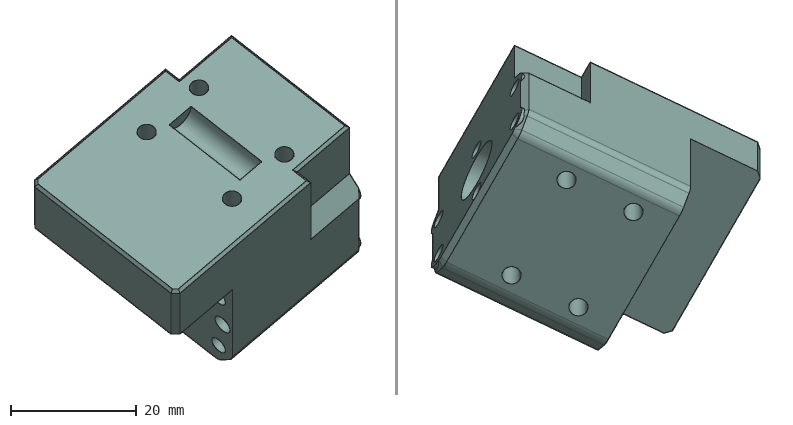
import cadquery as cq

width = 32.0
length = 43.0
height = 33.65
half_width = width / 2

block_front = 13.0
block_length = length - block_front
overhang_bottom = 22.0
head_length = 21.5
head_height = height - overhang_bottom
bottom_corner_bevel = 3.0
bottom_corner_radius = 2.0

head_corner_chamfer = 1.0
top_edge_chamfer = 0.5
back_chamfer = 1.0

neck_step_depth = 3.0
neck_length = 12.0
neck_slope_bottom = 17.65

bore_height = 10.5
bore_diameter = 10.5
bore_mouth_diameter = 12.47
bore_mouth_depth = (bore_mouth_diameter - bore_diameter) / 2

screw_hole_diameter = 3.0
corner_hole_x = 13.0
corner_hole_z = 6.5
vertical_hole_offset = 8.0
corner_hole_places = [
    (x, bore_height + offset)
    for x in (-corner_hole_x, corner_hole_x)
    for offset in (-corner_hole_z, corner_hole_z)
]
vertical_hole_places = [(0, bore_height + offset) for offset in (-vertical_hole_offset, vertical_hole_offset)]
corner_boss_diameter = 5.0
dowel_hole_diameter = 3.3
dowel_hole_x = 13.85
dowel_hole_depth = 6.0

top_pattern_y = 25.8
top_hole_diameter = 3.0
top_hole_spacing_x = 18.8
top_hole_spacing_y = 12.0
pocket_length = 15.55
pocket_width = 5.0


def cylinder_along_y(x, z, start_y, diameter, depth):
    start = cq.Vector(x, start_y, z)
    return cq.Workplane(cq.Solid.makeCylinder(diameter / 2, depth, start, cq.Vector(0, 1, 0)))


def make_block():
    """Block with rounded bevels at the bottom corners and a chamfered back rim."""
    block = cq.Workplane("XY").box(width, block_length, height, centered=(True, False, False))
    block = block.translate((0, block_front, 0))
    block = block.edges("|Y and <Z").chamfer(bottom_corner_bevel)
    block = block.edges("|Y and (not >Z)").fillet(bottom_corner_radius)
    back_rim = block.faces(">Y").edges("not >Z")
    return back_rim.chamfer(back_chamfer)


def make_head():
    """Full-width head that overhangs the front and runs back into the block."""
    head = cq.Workplane("XY").box(width, head_length, head_height, centered=(True, False, False))
    head = head.translate((0, 0, overhang_bottom))
    return head.edges("|Z and <Y").chamfer(head_corner_chamfer)


def make_neck_notch(side):
    """Material removed beside the neck, with a 45 degree sloped floor."""
    neck_x = half_width - neck_step_depth
    outline = [
        (side * neck_x, height),
        (side * neck_x, neck_slope_bottom + neck_step_depth),
        (side * half_width, neck_slope_bottom),
        (side * half_width, height),
    ]
    notch = cq.Workplane("XZ").polyline(outline).close().extrude(-neck_length)
    return notch.translate((0, length - neck_length, 0))


def make_top_pocket():
    """Half-round trough along X."""
    start = cq.Vector(-pocket_length / 2, top_pattern_y, height)
    return cq.Workplane(cq.Solid.makeCylinder(pocket_width / 2, pocket_length, start, cq.Vector(1, 0, 0)))


body = make_block().union(make_head())
for side in (-1, 1):
    body = body.cut(make_neck_notch(side))
body = body.faces(">Z").edges().chamfer(top_edge_chamfer)

for x, z in corner_hole_places:
    body = body.union(cylinder_along_y(x, z, length - back_chamfer, corner_boss_diameter, back_chamfer))

body = body.cut(cylinder_along_y(0, bore_height, block_front, bore_diameter, block_length))
bore_mouth = cq.Solid.makeCone(
    bore_mouth_diameter / 2,
    bore_diameter / 2,
    bore_mouth_depth,
    cq.Vector(0, block_front, bore_height),
    cq.Vector(0, 1, 0),
)
body = body.cut(cq.Workplane(bore_mouth))

for x, z in corner_hole_places + vertical_hole_places:
    body = body.cut(cylinder_along_y(x, z, block_front, screw_hole_diameter, block_length))

for x in (-dowel_hole_x, dowel_hole_x):
    body = body.cut(cylinder_along_y(x, bore_height, block_front, dowel_hole_diameter, dowel_hole_depth))

top_holes = (
    cq.Workplane("XY")
    .center(0, top_pattern_y)
    .rarray(top_hole_spacing_x, top_hole_spacing_y, 2, 2)
    .circle(top_hole_diameter / 2)
    .extrude(height)
)
result = body.cut(top_holes).cut(make_top_pocket())